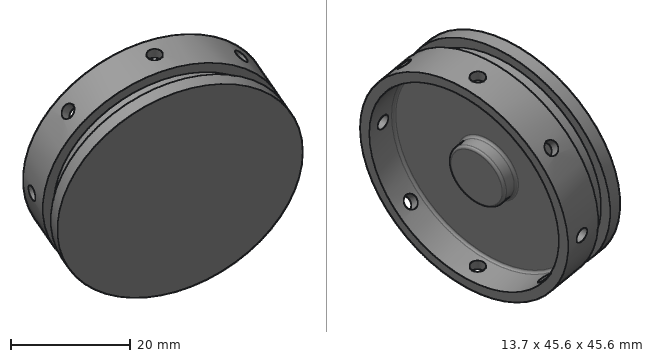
import cadquery as cq

outer_diameter = 45.55
length = 13.65

groove_start = 7.9
groove_width = 3.15
groove_diameter = 41.6

recess_diameter = 41.45
recess_depth = 6.3
boss_diameter = 12.2
boss_height = 3.05
fillet_radius = 0.5

hole_count = 8
hole_diameter = 2.8
hole_position = 3.6


def cylinder_along_x(diameter, start, height):
    """Solid cylinder on the X axis, starting at X = start."""
    return cq.Workplane("YZ", origin=(start, 0, 0)).circle(diameter / 2).extrude(height)


def grooved_disc():
    disc = cylinder_along_x(outer_diameter, 0, length)
    groove = cylinder_along_x(outer_diameter, groove_start, groove_width)
    groove_core = cylinder_along_x(groove_diameter, groove_start, groove_width)
    return disc.cut(groove.cut(groove_core))


def recess_with_boss():
    """Volume removed from the open face: rounded recess less the filleted boss."""
    recess = cylinder_along_x(recess_diameter, 0, recess_depth)
    boss = cylinder_along_x(boss_diameter, recess_depth - boss_height, boss_height)
    boss = boss.faces("<X").edges().fillet(fillet_radius)
    return recess.cut(boss).faces(">X").edges().fillet(fillet_radius)


def radial_holes():
    """Evenly spaced holes from the recess outwards through the rim."""
    first_hole = (
        cq.Workplane("XY", origin=(hole_position, 0, recess_diameter / 4))
        .circle(hole_diameter / 2)
        .extrude(outer_diameter / 2)
    )
    holes = cq.Workplane("XY")
    for index in range(hole_count):
        angle = index * 360 / hole_count
        holes = holes.add(first_hole.rotate((0, 0, 0), (1, 0, 0), angle))
    return holes.combine()


result = grooved_disc().cut(recess_with_boss()).cut(radial_holes())